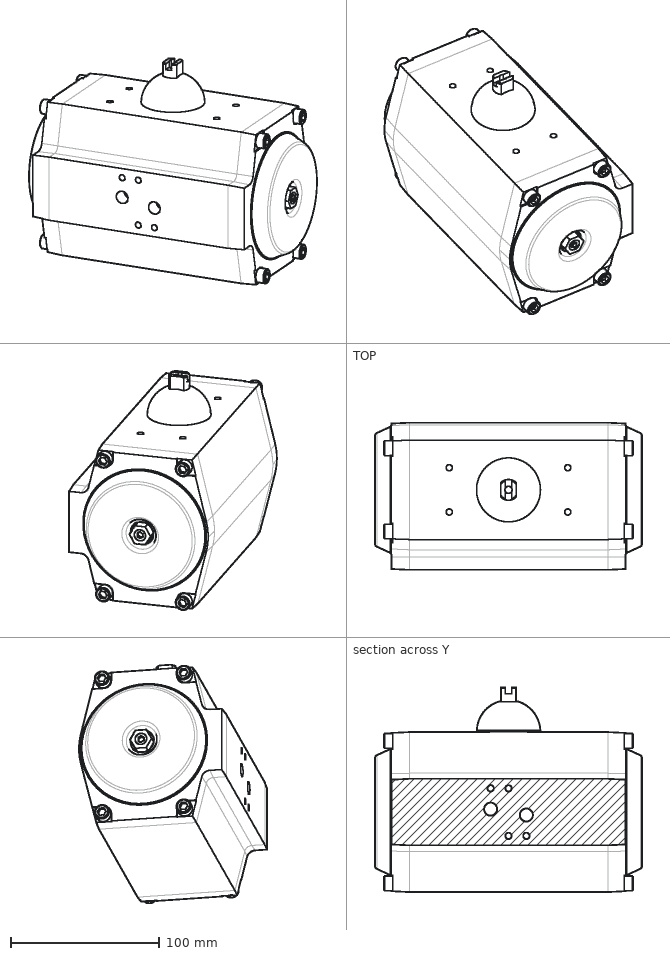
import cadquery as cq
import math

body_half_length = 67.0
cap_face_x = 79.0
cap_taper = 2.8
half_height = 54.0
top_half_width = 33.5
back_radius = 45.4
pad_face_y = -54.0
pad_half_height = 22.5
pad_fillet = 5.0

cover_face_x = 90.0
cover_face_radius = 36.7
cover_shoulder_x = 89.0
cover_shoulder_radius = 38.3
cover_foot_x = 79.5
cover_foot_radius = 42.7
cover_base_radius = 43.5

recess_rim_radius = 26.0 / 2
recess_wall_radius = 10.6
dish_floor_radius = 8.5
nut_hole_radius = 16.0 / 2
recess_depth = 7.5
nut_across_flats = 13.0
screw_diameter = 8.0
screw_inset = 0.2
screw_socket_across_flats = 4.0
screw_socket_depth = 2.7

bolt_y = 28.0
bolt_z = 48.0
bolt_head_diameter = 10.0
bolt_head_x = 84.0
bolt_head_chamfer = 0.7
bolt_socket_across_flats = 5.0
bolt_socket_depth = 2.7
pocket_floor_x = 78.0
pocket_margin = 5.5
pocket_reach = 21.6

collar_diameter = 26.0
dome_radius = 21.6
dome_gap = 1.0
stem_top_z = 84.0
stem_diameter = 14.0
stem_across_flats = 10.5
stem_chamfer = 0.5
stem_slot_width = 4.1
stem_slot_depth = 4.1
stem_hole_diameter = 4.9
stem_hole_depth = 8.0

drill_point_angle = 118
small_hole_diameter = 4.1
small_hole_depth = 8.0
top_hole_x = 40.0
top_hole_y = 15.0
port_diameter = 8.6
port_depth = 12.0
port_x = 12.0
port_z = 2.0
pad_hole_z = 16.0


def hexagon_corners(across_flats):
    return across_flats / math.cos(math.pi / 6)


def housing_outline(plane_x):
    """Closed housing section, its flanks tangent to the round back."""
    corner_angle = math.atan2(half_height, top_half_width)
    corner_distance = math.hypot(half_height, top_half_width)
    tangent_angle = corner_angle - math.acos(back_radius / corner_distance)

    def on_back(angle):
        return back_radius * math.cos(angle), back_radius * math.sin(angle)

    meet_y = -(back_radius - pad_half_height * math.sin(tangent_angle)) / math.cos(tangent_angle)
    trim = pad_fillet * math.tan((math.pi / 2 - tangent_angle) / 2)
    fillet_start = (
        meet_y + trim * math.sin(tangent_angle),
        pad_half_height + trim * math.cos(tangent_angle),
    )
    fillet_end = (meet_y - trim, pad_half_height)
    return (
        cq.Workplane("YZ", origin=(plane_x, 0, 0))
        .moveTo(back_radius, 0)
        .threePointArc(on_back(tangent_angle / 2), on_back(tangent_angle))
        .lineTo(top_half_width, half_height)
        .lineTo(-top_half_width, half_height)
        .lineTo(*fillet_start)
        .tangentArcPoint(fillet_end, relative=False)
        .lineTo(pad_face_y, pad_half_height)
        .lineTo(pad_face_y, 0)
        .mirrorX()
    )


def corner_pockets():
    """Round-cornered pockets that open outward around the bolt heads."""
    centre_y = bolt_y - pocket_margin + pocket_reach / 2
    centre_z = bolt_z - pocket_margin + pocket_reach / 2
    depth = cap_face_x - pocket_floor_x
    return (
        cq.Workplane("YZ", origin=(pocket_floor_x, 0, 0))
        .rect(2 * centre_y, 2 * centre_z, forConstruction=True)
        .vertices()
        .rect(pocket_reach, pocket_reach)
        .extrude(depth)
        .edges("|X")
        .fillet(pocket_margin)
    )


def cover():
    """Conical cover with a dished recess, turned about the X axis."""
    recess_floor_x = cover_face_x - recess_depth
    rim_round = recess_rim_radius - recess_wall_radius
    dish_round = recess_wall_radius - dish_floor_radius
    wall_x = cover_face_x - rim_round
    dish_x = wall_x - dish_round
    return (
        cq.Workplane("XY")
        .moveTo(body_half_length, 0)
        .lineTo(body_half_length, cover_base_radius)
        .lineTo(cap_face_x, cover_base_radius)
        .lineTo(cover_foot_x, cover_foot_radius)
        .lineTo(cover_shoulder_x, cover_shoulder_radius)
        .tangentArcPoint((cover_face_x, cover_face_radius), relative=False)
        .lineTo(cover_face_x, recess_rim_radius)
        .tangentArcPoint((wall_x, recess_wall_radius), relative=False)
        .tangentArcPoint((dish_x, dish_floor_radius), relative=False)
        .lineTo(dish_x, nut_hole_radius)
        .lineTo(recess_floor_x, nut_hole_radius)
        .lineTo(recess_floor_x, 0)
        .close()
        .revolve(360, (0, 0, 0), (1, 0, 0))
    )


def stop_screw():
    floor = cq.Workplane("YZ", origin=(cover_face_x - recess_depth, 0, 0))
    nut = floor.polygon(6, hexagon_corners(nut_across_flats)).extrude(recess_depth)
    screw_end = cq.Workplane("YZ", origin=(cover_face_x, 0, 0))
    inset = screw_end.circle(screw_diameter / 2).extrude(-screw_inset)
    socket = (
        screw_end.transformed(rotate=(0, 0, 90))
        .polygon(6, hexagon_corners(screw_socket_across_flats))
        .extrude(-screw_socket_depth)
    )
    return nut.cut(inset).cut(socket)


def bolt_head():
    head = (
        cq.Workplane("YZ", origin=(pocket_floor_x, 0, 0))
        .circle(bolt_head_diameter / 2)
        .extrude(bolt_head_x - pocket_floor_x)
        .faces(">X")
        .chamfer(bolt_head_chamfer)
    )
    socket = (
        cq.Workplane("YZ", origin=(bolt_head_x, 0, 0))
        .polygon(6, hexagon_corners(bolt_socket_across_flats))
        .extrude(-bolt_socket_depth)
    )
    return head.cut(socket)


def end_cap():
    cap = housing_outline(body_half_length).extrude(cap_face_x - body_half_length, taper=cap_taper)
    cap = cap.cut(corner_pockets()).union(cover()).union(stop_screw())
    for side in (-1, 1):
        for level in (-1, 1):
            cap = cap.union(bolt_head().translate((0, side * bolt_y, level * bolt_z)))
    return cap


def indicator():
    """Collar, dome and slotted drive stem."""
    top = cq.Workplane("XY", origin=(0, 0, half_height))
    collar = top.circle(collar_diameter / 2).extrude(dome_gap)
    dome = top.sphere(dome_radius).intersect(
        top.workplane(offset=dome_gap).circle(dome_radius).extrude(dome_radius)
    )
    stem_height = stem_top_z - half_height
    stem = top.circle(stem_diameter / 2).extrude(stem_height).faces(">Z").chamfer(stem_chamfer)
    flats = top.rect(stem_across_flats, stem_diameter).extrude(stem_height)
    slot = (
        cq.Workplane("XY", origin=(0, 0, stem_top_z))
        .rect(stem_slot_width, stem_diameter)
        .extrude(-stem_slot_depth)
    )
    return collar.union(dome).union(stem.intersect(flats)).cut(slot)


def drilled_hole(diameter, depth, position, direction):
    """Blind hole with a conical drill point, entering at the position."""
    radius = diameter / 2
    tip = radius / math.tan(math.radians(drill_point_angle / 2))
    straight = cq.Solid.makeCylinder(radius, depth, position, direction)
    point = cq.Solid.makeCone(radius, 0, tip, position + direction * depth, direction)
    return cq.Workplane(straight.fuse(point))


def holes():
    down = cq.Vector(0, 0, -1)
    inward = cq.Vector(0, 1, 0)
    drilled = drilled_hole(stem_hole_diameter, stem_hole_depth, cq.Vector(0, 0, stem_top_z), down)
    for x in (-top_hole_x, top_hole_x):
        for y in (-top_hole_y, top_hole_y):
            position = cq.Vector(x, y, half_height)
            drilled = drilled.union(drilled_hole(small_hole_diameter, small_hole_depth, position, down))
    for turn in (-1, 1):
        for x in (0, turn * port_x):
            position = cq.Vector(x, pad_face_y, -turn * pad_hole_z)
            drilled = drilled.union(drilled_hole(small_hole_diameter, small_hole_depth, position, inward))
        position = cq.Vector(turn * port_x, pad_face_y, -turn * port_z)
        drilled = drilled.union(drilled_hole(port_diameter, port_depth, position, inward))
    return drilled


body = housing_outline(-body_half_length).extrude(2 * body_half_length)
cap = end_cap()
result = body.union(cap).union(cap.mirror("YZ")).union(indicator()).cut(holes())